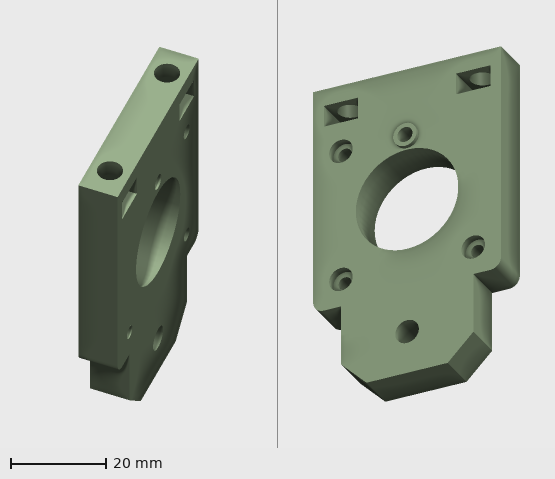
import cadquery as cq

thickness = 9.0
height = 73.5
body_width = 44.0
body_corner_radius = 2.5
tongue_width = 31.1
tongue_length = 20.0
tongue_chamfer = 6.0

bore_z = 42.05
bore_diameter = 24.0
screw_pitch = 31.0
screw_diameter = 3.0
top_screw_diameter = 3.2
screw_head_diameter = 5.5
screw_head_depth = 2.0

boss_z = 57.2
boss_diameter = 5.5
boss_length = 1.0
boss_hole_diameter = 3.5

tongue_hole_z = 10.0
tongue_hole_diameter = 5.5

socket_diameter = 5.5
socket_floor_depth = 1.0
window_width = 8.0
window_height = 5.0
window_top_gap = 4.0

half_pitch = screw_pitch / 2
window_top = height - window_top_gap
window_bottom = window_top - window_height


def cylinder_along_x(y, z, diameter, start, length):
    """Cylinder parallel to X, from x = start to x = start + length."""
    return cq.Workplane("YZ", origin=(start, y, z)).circle(diameter / 2).extrude(length)


def make_plate():
    """Wide body with rounded lower corners above a narrower tongue with chamfered lower corners."""
    body = (
        cq.Workplane("XY", origin=(0, 0, tongue_length))
        .box(thickness, body_width, height - tongue_length, centered=(False, True, False))
        .edges("|X and <Z")
        .fillet(body_corner_radius)
    )
    tongue = (
        cq.Workplane("XY")
        .box(thickness, tongue_width, tongue_length, centered=(False, True, False))
        .edges("|X and <Z")
        .chamfer(tongue_chamfer)
    )
    return body.union(tongue)


def screw_hole(y, z, diameter):
    """Through hole with a counterbore for the screw head on the -X face."""
    shank = cylinder_along_x(y, z, diameter, 0, thickness)
    head = cylinder_along_x(y, z, screw_head_diameter, 0, screw_head_depth)
    return shank.union(head)


def socket_and_window(y):
    """Window through the plate, with a vertical socket ending just below its floor."""
    window = cq.Workplane("XY", origin=(0, y, window_bottom)).box(
        thickness, window_width, window_height, centered=(False, True, False)
    )
    socket_bottom = window_bottom - socket_floor_depth
    socket = (
        cq.Workplane("XY", origin=(thickness / 2, y, socket_bottom))
        .circle(socket_diameter / 2)
        .extrude(height - socket_bottom)
    )
    return window.union(socket)


result = make_plate()
result = result.union(cylinder_along_x(0, boss_z, boss_diameter, -boss_length, boss_length))

result = result.cut(cylinder_along_x(0, boss_z, boss_hole_diameter, -boss_length, boss_length + thickness))
result = result.cut(cylinder_along_x(0, bore_z, bore_diameter, 0, thickness))
result = result.cut(cylinder_along_x(0, tongue_hole_z, tongue_hole_diameter, 0, thickness))

result = result.cut(screw_hole(half_pitch, bore_z + half_pitch, top_screw_diameter))
for side in (-1, 1):
    result = result.cut(screw_hole(side * half_pitch, bore_z - half_pitch, screw_diameter))
    result = result.cut(socket_and_window(side * half_pitch))